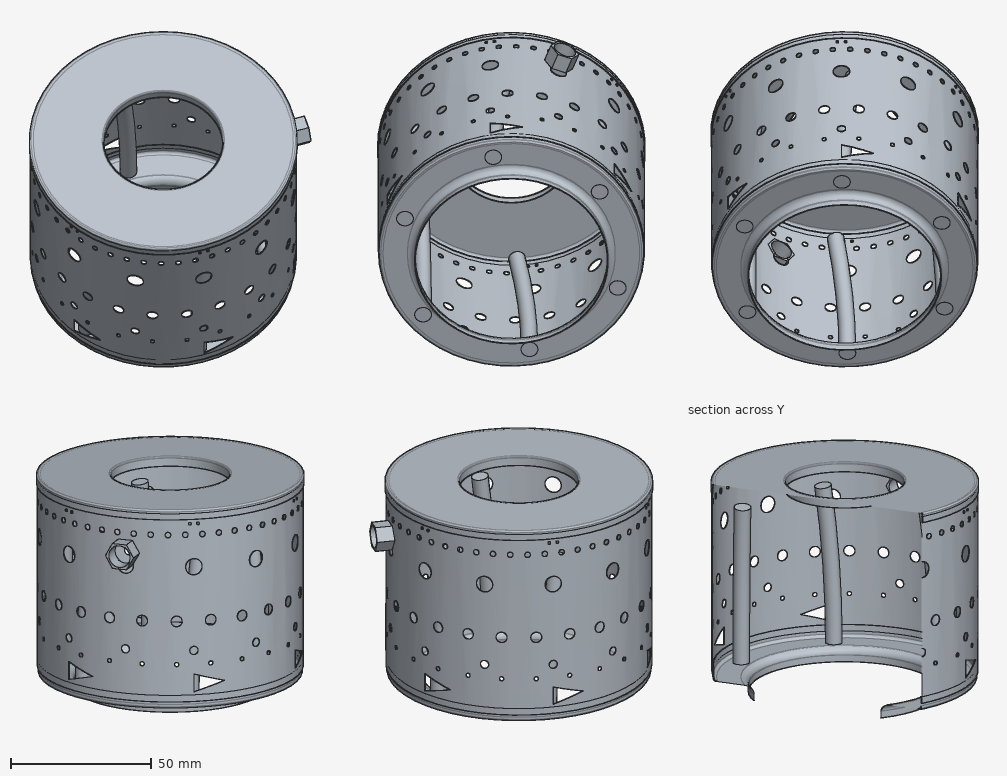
import cadquery as cq
import math

SHEET = 0.3
CAN_RADIUS = 47.5
TOTAL_HEIGHT = 78.8
CORNER_OUTER_BEND = 0.6
CORNER_INNER_BEND = 1.1

CAP_DEPTH = 3.7
BORE_RADIUS = 21.2

NECK_RADIUS = 34.55
NECK_BEND = 2.5
FLOOR_Z = 5.1
FLANGE_TOP_Z = 9.9

CAN_BOTTOM_Z = 7.5
HOLE_RINGS = [
    (2.0, 69.5, 48, 3.75),
    (6.0, 57.5, 12, 0.0),
    (4.0, 37.4, 24, 7.5),
    (3.0, 26.5, 12, 0.0),
    (1.5, 21.4, 24, 7.5),
]

STATION_COUNT = 6
PINHOLE_DIAMETER = 1.0
PINHOLE_Z = 73.6
PINHOLE_HALF_ANGLE = 1.8
PORT_Z = 14.4
PORT_HEIGHT = 6.6
PORT_LENGTH = 11.4

ROD_RADIUS = 2.99
ROD_CIRCLE_RADIUS = 40.6
ROD_TOP_Z = 64.9
ROD_ARC_RADIUS = 375.4
ROD_LEAN_ANGLE = 120.0

BOSS_Z = 62.4
BOSS_FLATS = 9.2
BOSS_BORE = 8.0
BOSS_END_Y = 53.7

CAN_INNER_RADIUS = CAN_RADIUS - SHEET
CAN_TOP_Z = TOTAL_HEIGHT - SHEET - CORNER_INNER_BEND
CAP_RADIUS = CAN_RADIUS + SHEET
FLOOR_TOP_Z = FLOOR_Z + SHEET
BOSS_CORNERS = BOSS_FLATS / math.cos(math.radians(30))
CUT_START = 0.9 * CAN_INNER_RADIUS
STATION_ANGLES = [i * 360 / STATION_COUNT for i in range(STATION_COUNT)]

SMALLEST_CIRCLE = cq.selectors.RadiusNthSelector(0)
LARGEST_CIRCLE = cq.selectors.RadiusNthSelector(-1)


def cylinder(radius, bottom, top):
    return cq.Workplane("XY", origin=(0, 0, bottom)).circle(radius).extrude(top - bottom)


def turn(body, angle):
    """Rotate a body about the Z axis."""
    return body.rotate((0, 0, 0), (0, 0, 1), angle)


def round_cutter(diameter, z, angle):
    """Radial cutter for one round hole in the can wall."""
    plane = cq.Workplane("YZ", origin=(CUT_START, 0, z))
    return turn(plane.circle(diameter / 2).extrude(CAP_RADIUS - CUT_START), angle)


def port_cutter(angle):
    """Cutter for a triangular port: upright edge on the station, point ahead of it."""
    half_height = PORT_HEIGHT / 2
    triangle = [(0, -half_height), (PORT_LENGTH, 0), (0, half_height)]
    plane = cq.Workplane("YZ", origin=(CUT_START, 0, PORT_Z))
    return turn(plane.polyline(triangle).close().extrude(CAP_RADIUS - CUT_START), angle)


def wall_cutters():
    """All the cutters for the holes and ports in the can wall."""
    cutters = []
    for diameter, z, count, first_angle in HOLE_RINGS:
        for i in range(count):
            cutters.append(round_cutter(diameter, z, first_angle + i * 360 / count))
    for station in STATION_ANGLES:
        cutters.append(port_cutter(station))
        for offset in (-PINHOLE_HALF_ANGLE, PINHOLE_HALF_ANGLE):
            cutters.append(round_cutter(PINHOLE_DIAMETER, PINHOLE_Z, station + offset))
    return cutters


def make_can():
    tube = cylinder(CAN_RADIUS, CAN_BOTTOM_Z, CAN_TOP_Z)
    tube = tube.cut(cylinder(CAN_INNER_RADIUS, CAN_BOTTOM_Z, CAN_TOP_Z))
    perforated = cq.Workplane(tube.val().cut(*[cutter.val() for cutter in wall_cutters()]))

    boss_plane = cq.Workplane("XZ", origin=(0, 0, BOSS_Z))
    boss = boss_plane.polygon(6, BOSS_CORNERS).extrude(-BOSS_END_Y)
    boss = boss.cut(cylinder(CAN_RADIUS, 0, TOTAL_HEIGHT))
    bore = boss_plane.circle(BOSS_BORE / 2).extrude(-BOSS_END_Y)
    return perforated.union(boss).cut(bore)


def make_cap():
    bottom = TOTAL_HEIGHT - CAP_DEPTH
    ceiling = TOTAL_HEIGHT - SHEET
    blank = cylinder(CAP_RADIUS, bottom, TOTAL_HEIGHT).edges(">Z").fillet(CORNER_OUTER_BEND)

    hollow = cylinder(CAN_RADIUS, bottom, ceiling).edges(">Z").fillet(CORNER_INNER_BEND)
    hollow = hollow.cut(cylinder(BORE_RADIUS + SHEET, bottom, ceiling))
    hollow = hollow.edges(">Z").edges(SMALLEST_CIRCLE).fillet(CORNER_OUTER_BEND - SHEET)

    cap = blank.cut(hollow).cut(cylinder(BORE_RADIUS, bottom, TOTAL_HEIGHT))
    return cap.edges(">Z").edges(SMALLEST_CIRCLE).fillet(CORNER_OUTER_BEND)


def make_rod(station):
    """One leaning rod, started inside the floor sheet so that it joins the pan."""
    base = FLOOR_Z + SHEET / 2
    sweep = math.degrees(math.asin((ROD_TOP_Z - base) / ROD_ARC_RADIUS))
    rod = (
        cq.Workplane("XY", origin=(0, 0, base))
        .circle(ROD_RADIUS)
        .revolve(sweep, (ROD_ARC_RADIUS, 0), (ROD_ARC_RADIUS, 1))
    )
    rod = turn(rod, ROD_LEAN_ANGLE).translate((ROD_CIRCLE_RADIUS, 0, 0))
    return turn(rod, station)


def stepped_drum(drum_radius, neck_radius, step_z, neck_bend, corner_bend):
    """Solid drum on a narrower neck, with the step between them and its outer corner rounded."""
    drum = cylinder(drum_radius, step_z, FLANGE_TOP_Z).union(cylinder(neck_radius, 0, step_z))
    drum = drum.edges(SMALLEST_CIRCLE).edges(">Z").fillet(neck_bend)
    return drum.edges(LARGEST_CIRCLE).edges("<Z").fillet(corner_bend)


def make_pan():
    outside = stepped_drum(CAN_INNER_RADIUS, NECK_RADIUS, FLOOR_Z, NECK_BEND, CORNER_OUTER_BEND)
    inside = stepped_drum(
        CAN_INNER_RADIUS - SHEET, NECK_RADIUS - SHEET, FLOOR_TOP_Z, NECK_BEND + SHEET, CORNER_INNER_BEND
    )
    pan = outside.cut(inside)
    for station in STATION_ANGLES:
        pan = pan.union(make_rod(station))
    return pan


can = make_can().solids()
cap = make_cap().solids()
pan = make_pan().solids()
result = cq.Compound.makeCompound([can.val(), cap.val(), pan.val()])